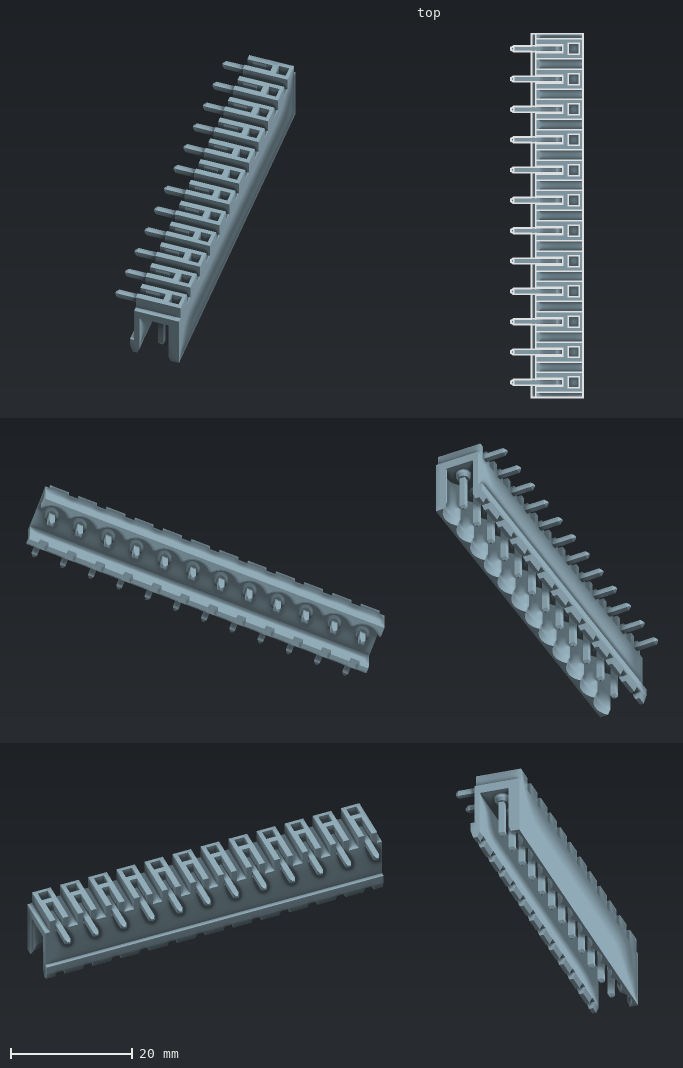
import cadquery as cq

PIN_COUNT = 12
LENGTH = 60.0
PITCH = LENGTH / PIN_COUNT
PIN_POSITIONS = [(i - (PIN_COUNT - 1) / 2) * PITCH for i in range(PIN_COUNT)]

BODY_WIDTH = 7.8
TOTAL_HEIGHT = 12.2
DECK_HEIGHT = 9.85
ROOF_HEIGHT = 8.35
LATCH_WALL = 0.9
REAR_WALL_INSIDE = 5.95
LATCH_DEPTH = 0.7
LATCH_TOP = 2.9
LATCH_SLOPE_TOP = 1.45
LATCH_SLOPE_RUN = 0.5
LEAD_IN_RUN = 0.4
LEAD_IN_HEIGHT = 0.95

PIN_SIZE = 0.95
PIN_X = 3.95
PIN_REACH = 4.1
PIN_FOOT = 0.9
PIN_TIP_LENGTH = 0.5
PIN_TIP_TAPER = 0.3
PIN_TOP = 10.75
BEND_RADIUS = PIN_SIZE

COLLAR_DIAMETER = 2.5
COLLAR_TIP_DIAMETER = 1.9
COLLAR_STRAIGHT = 0.6
COLLAR_TAPER = 0.55

BLOCK_WIDTH = 3.3
SLOT_WIDTH = 1.3
SLOT_LENGTH = PIN_X + PIN_SIZE / 2
POCKET_SIZE = 1.8
POCKET_X = 6.3

RIB_START = 1.0
RIB_LENGTH = 2.35
RIB_DEPTH = (SLOT_WIDTH - PIN_SIZE) / 2
RIB_BOTTOM = 10.8
RIB_TOP = 11.95
RIB_SLOPE = 0.35

RECESS_RADIUS = 2.95
RECESS_MOUTH_RADIUS = 3.4
RECESS_MOUTH_HEIGHT = 1.45
NOTCH_HEIGHT = 1.1
NOTCH_TOP_WIDTH = 1.45
NOTCH_FOOT_WIDTH = 1.8


def box(x_min, x_max, y_center, width, z_min, z_max):
    """Upright box spanning the X and Z ranges, centred in Y."""
    block = cq.Workplane("XY").box(x_max - x_min, width, z_max - z_min, centered=(False, True, False))
    return block.translate((x_min, y_center, z_min))


def revolve_about_pin(profile, y):
    """Turn a radius-height profile about the upright axis of one pin."""
    turned = cq.Workplane("XZ").polyline(profile).close().revolve(360, (0, 0), (0, 1))
    return turned.translate((PIN_X, y, 0))


def make_housing():
    """Inverted channel with a hooked latch wall and a plain rear wall."""
    outline = [
        (0, DECK_HEIGHT),
        (BODY_WIDTH, DECK_HEIGHT),
        (BODY_WIDTH, 0),
        (REAR_WALL_INSIDE + LEAD_IN_RUN, 0),
        (REAR_WALL_INSIDE, LEAD_IN_HEIGHT),
        (REAR_WALL_INSIDE, ROOF_HEIGHT),
        (LATCH_WALL, ROOF_HEIGHT),
        (LATCH_WALL, LEAD_IN_HEIGHT),
        (LATCH_WALL - LEAD_IN_RUN, 0),
        (LATCH_SLOPE_RUN - LATCH_DEPTH, 0),
        (-LATCH_DEPTH, LATCH_SLOPE_TOP),
        (-LATCH_DEPTH, LATCH_TOP),
        (0, LATCH_TOP),
    ]
    return cq.Workplane("XZ").polyline(outline).close().extrude(LENGTH / 2, both=True)


def make_recess(y):
    """Round clearance around a pin with a conical mouth at the foot."""
    profile = [
        (0, 0),
        (RECESS_MOUTH_RADIUS, 0),
        (RECESS_RADIUS, RECESS_MOUTH_HEIGHT),
        (RECESS_RADIUS, ROOF_HEIGHT),
        (0, ROOF_HEIGHT),
    ]
    round_cut = revolve_about_pin(profile, y)
    return round_cut.intersect(box(PIN_X, BODY_WIDTH, y, LENGTH, 0, ROOF_HEIGHT))


def make_notch(y):
    """Flared notch through the bottom of the latch wall."""
    outline = [
        (-NOTCH_FOOT_WIDTH / 2, 0),
        (NOTCH_FOOT_WIDTH / 2, 0),
        (NOTCH_TOP_WIDTH / 2, NOTCH_HEIGHT),
        (-NOTCH_TOP_WIDTH / 2, NOTCH_HEIGHT),
    ]
    notch = cq.Workplane("YZ").polyline(outline).close().extrude(LATCH_DEPTH + LATCH_WALL)
    return notch.translate((-LATCH_DEPTH, y, 0))


def make_rib(y, side):
    """Rib with sloped top and bottom on one wall of a slot."""
    wall = side * SLOT_WIDTH / 2
    crest = wall - side * RIB_DEPTH
    outline = [
        (wall, RIB_BOTTOM),
        (crest, RIB_BOTTOM + RIB_SLOPE),
        (crest, RIB_TOP - RIB_SLOPE),
        (wall, RIB_TOP),
    ]
    return cq.Workplane("YZ").polyline(outline).close().extrude(RIB_LENGTH).translate((RIB_START, y, 0))


def make_block(y):
    """Slotted block with a square pocket behind the slot."""
    block = box(0, BODY_WIDTH, y, BLOCK_WIDTH, DECK_HEIGHT, TOTAL_HEIGHT)
    block = block.cut(box(0, SLOT_LENGTH, y, SLOT_WIDTH, DECK_HEIGHT, TOTAL_HEIGHT))
    pocket_start = POCKET_X - POCKET_SIZE / 2
    pocket_end = POCKET_X + POCKET_SIZE / 2
    block = block.cut(box(pocket_start, pocket_end, y, POCKET_SIZE, DECK_HEIGHT, TOTAL_HEIGHT))
    for side in (-1, 1):
        block = block.union(make_rib(y, side))
    return block


def make_bar(start, direction, length):
    """Square bar along a direction, ending in a tapered tip."""
    tip_start = length - PIN_TIP_LENGTH
    tip_size = PIN_SIZE - 2 * PIN_TIP_TAPER
    plane = cq.Plane(origin=start, xDir=(0, 1, 0), normal=direction)
    shank = cq.Workplane(plane).rect(PIN_SIZE, PIN_SIZE).extrude(tip_start)
    tip = cq.Workplane(plane).workplane(offset=tip_start).rect(PIN_SIZE, PIN_SIZE)
    tip = tip.workplane(offset=PIN_TIP_LENGTH).rect(tip_size, tip_size).loft()
    return shank.union(tip)


def make_pin(y):
    """Square pin bent through a right angle, tapered at both ends."""
    arm = make_bar((SLOT_LENGTH, y, PIN_TOP - PIN_SIZE / 2), (-1, 0, 0), SLOT_LENGTH + PIN_REACH)
    leg = make_bar((PIN_X, y, PIN_TOP), (0, 0, -1), PIN_TOP - PIN_FOOT)
    return arm.union(leg).edges(">X and >Z").fillet(BEND_RADIUS)


def make_collar(y):
    """Short round collar, straight then tapered, below the roof."""
    straight_end = ROOF_HEIGHT - COLLAR_STRAIGHT
    tip = straight_end - COLLAR_TAPER
    profile = [
        (0, ROOF_HEIGHT),
        (COLLAR_DIAMETER / 2, ROOF_HEIGHT),
        (COLLAR_DIAMETER / 2, straight_end),
        (COLLAR_TIP_DIAMETER / 2, tip),
        (0, tip),
    ]
    return revolve_about_pin(profile, y)


result = make_housing()
for pin_y in PIN_POSITIONS:
    result = result.cut(make_recess(pin_y)).cut(make_notch(pin_y))
    result = result.union(make_block(pin_y)).union(make_collar(pin_y)).union(make_pin(pin_y))